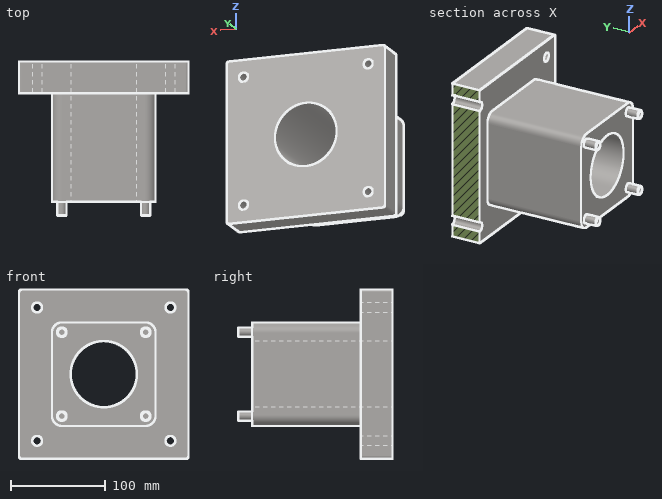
import cadquery as cq
import math

plate_side = 180.0
plate_thickness = 34.0
plate_corner_radius = 3.0
plate_edge_chamfer = 0.3

body_side = 110.0
body_length = 115.0
body_corner_radius = 11.0
bore_diameter = 70.0

mount_hole_diameter = 10.11
mount_circle_diameter = 200.0
mount_spacing = mount_circle_diameter / math.sqrt(2)

pin_diameter = 10.0
pin_length = 15.0
pin_tip_chamfer = 0.8
pin_spacing = 89.0

plate_front_y = 0.0
body_front_y = plate_front_y - body_length


def front_plane(y):
    """Workplane at the given Y whose normal points toward -Y."""
    return cq.Workplane("XZ", origin=(0, y, 0))


def corner_points(spacing):
    """Four points at the corners of a centred square."""
    half = spacing / 2
    return [(x, z) for x in (-half, half) for z in (-half, half)]


def make_plate():
    """Square plate with rounded corners and chamfered front and back edges."""
    plate = front_plane(plate_front_y).rect(plate_side, plate_side).extrude(-plate_thickness)
    plate = plate.edges("|Y").fillet(plate_corner_radius)
    plate = plate.faces("<Y or >Y").chamfer(plate_edge_chamfer)
    holes = (
        front_plane(plate_front_y)
        .pushPoints(corner_points(mount_spacing))
        .circle(mount_hole_diameter / 2)
        .extrude(-plate_thickness)
    )
    return plate.cut(holes)


def make_body():
    """Square block with rounded long edges."""
    body = front_plane(plate_front_y).rect(body_side, body_side).extrude(body_length)
    return body.edges("|Y").fillet(body_corner_radius)


def make_pins():
    """Four pins with chamfered tips."""
    pins = (
        front_plane(body_front_y)
        .pushPoints(corner_points(pin_spacing))
        .circle(pin_diameter / 2)
        .extrude(pin_length)
    )
    return pins.faces("<Y").chamfer(pin_tip_chamfer)


def make_bore():
    """Round bore through the body and the plate."""
    return (
        front_plane(body_front_y)
        .circle(bore_diameter / 2)
        .extrude(-(body_length + plate_thickness))
    )


result = make_plate().union(make_body()).union(make_pins()).cut(make_bore())